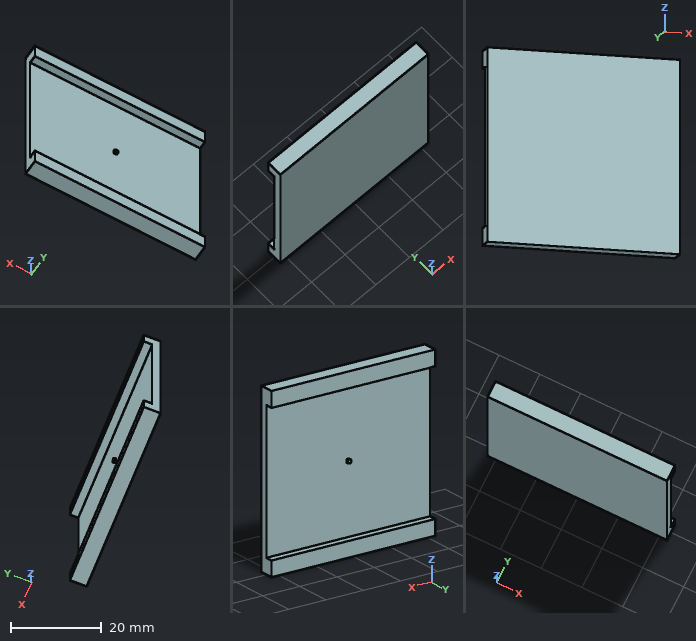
import cadquery as cq

side = 44.0
depth = 4.0
web_thickness = depth / 2
rail_height = depth
pin_diameter = depth / 4
pin_height = pin_diameter / 2


def make_plate():
    """Square plate with its front face on Y = 0, centred on X and Z."""
    return cq.Workplane("XY").box(side, depth, side, centered=(True, False, True))


def make_channel():
    """Full-width channel that leaves a rail along the top and bottom edges."""
    return (
        cq.Workplane("XY")
        .box(side, depth - web_thickness, side - 2 * rail_height, centered=(True, False, True))
        .translate((0, web_thickness, 0))
    )


def make_pin():
    """Round pin standing on the middle of the channel floor, along +Y."""
    base = cq.Plane(origin=(0, web_thickness, 0), xDir=(1, 0, 0), normal=(0, 1, 0))
    return cq.Workplane(base).circle(pin_diameter / 2).extrude(pin_height)


result = make_plate().cut(make_channel()).union(make_pin())